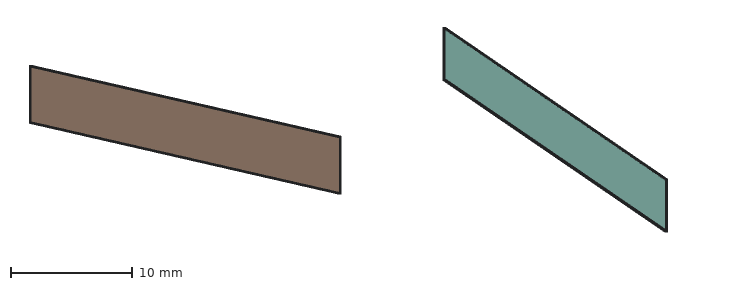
import cadquery as cq

length = 30.0
thickness = 0.1
height = 5.0

result = cq.Workplane("XY").box(length, thickness, height)